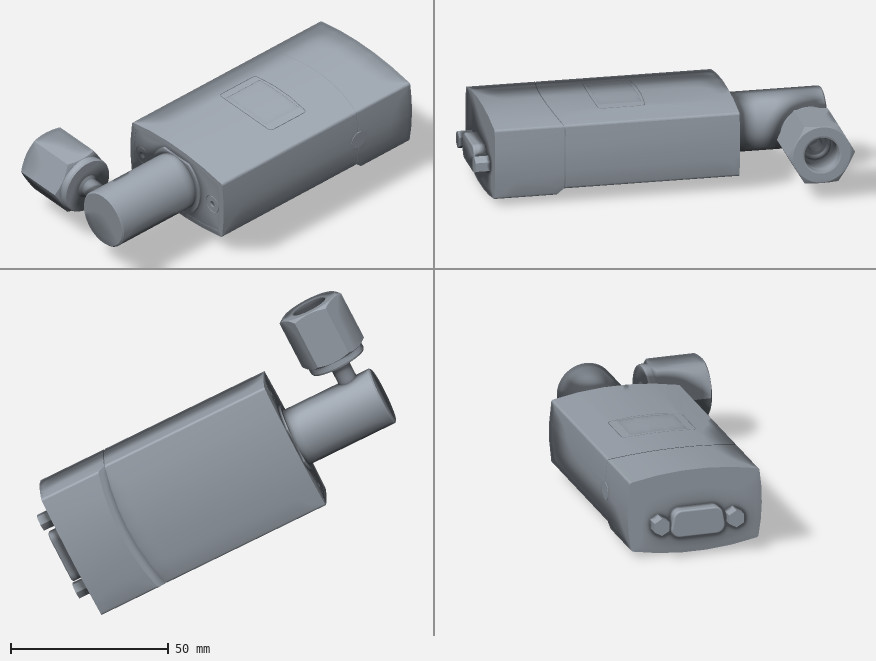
import cadquery as cq
import math

total_length = 119.0

side_crest = 22.5
side_radius = 65.4
roof_crest = 13.0
roof_radius = 98.7
corner_x = 21.5
corner_round = 0.8
housing_length = 79.7

cover_drop = 2.0
seam_y = 57.1
seam_bend_z = 10.5
seam_slope = 1.1
seam_width = 0.4
seam_depth = 0.2

plug_diameter = 6.0
plug_y = 57.1
plug_height = 0.1

plate_inset = 1.7
plate_recess = 0.1
screw_x = 16.9
screw_diameter = 6.2
screw_gap = 0.2
screw_gap_depth = 0.4
socket_diameter = 2.1
socket_depth = 1.2

window_center_y = 36.3
window_width = 25.0
window_end_length = 15.3
window_mid_length = 16.7
window_round = 1.4
window_gap = 0.2
window_gap_depth = 0.2
screen_width = 18.9
screen_length = 14.0
screen_recess = 0.1

tube_diameter = 19.3
tube_length = 31.4
tube_chamfer = 0.5
flange_diameter = 22.8
flange_height = 19.5
flange_thickness = 0.6

fitting_y = -23.5
nut_flats = 19.0
nut_left = -36.9
nut_length = 18.2
nut_face_diameter = 18.5
nut_chamfer_angle = 30.0
collar_diameter = 18.8
collar_length = 2.4
collar_chamfer = 0.6
neck_diameter = 7.9
neck_length = 0.8
stem_diameter = 6.3
bore_mouth_diameter = 12.6
bore_diameter = 11.4
bore_chamfer = 0.2
bore_depth = 10.7
bead_circle_diameter = 8.8
bead_diameter = 1.7
gland_hole_diameter = 4.8
gland_hole_depth = 6.0

connector_z = -3.8
shell_height = 9.0
shell_top_half_flat = 5.5
shell_corner = 2.9
shell_slant = 10.0
shell_length = 3.9
shell_edge_round = 0.6
post_flats = 5.0
post_spacing = 25.0

hexagon_flats_ratio = math.cos(math.pi / 6)
nut_corners = nut_flats / hexagon_flats_ratio
post_corners = post_flats / hexagon_flats_ratio
post_length = total_length - housing_length + fitting_y - nut_corners / 2


def arc_drop(radius, offset):
    """Fall of an arc below its crest at a given distance from the crest."""
    return radius - math.sqrt(radius**2 - offset**2)


def side_x(z):
    """Half width of the housing at a height."""
    return side_crest - arc_drop(side_radius, z)


def housing_prism(length, inset=0.0, drop=0.0):
    """Housing section extruded along +Y; inset shrinks it, drop lowers the floor."""
    top = roof_crest - inset
    floor = -roof_crest - drop + inset
    top_corner_z = top - arc_drop(roof_radius, corner_x)
    floor_corner_z = floor + arc_drop(roof_radius, corner_x)
    top_x = side_x(top_corner_z + inset) - inset
    floor_x = side_x(floor_corner_z - inset) - inset
    crest_x = side_crest - inset
    prism = (
        cq.Workplane("XZ")
        .moveTo(-top_x, top_corner_z)
        .threePointArc((0, top), (top_x, top_corner_z))
        .threePointArc((crest_x, 0), (floor_x, floor_corner_z))
        .threePointArc((0, floor), (-floor_x, floor_corner_z))
        .threePointArc((-crest_x, 0), (-top_x, top_corner_z))
        .close()
        .extrude(-length)
    )
    if inset >= corner_round:
        return prism
    return prism.edges("|Y").fillet(corner_round - inset)


def behind_seam(shift=0.0):
    """Everything behind the seam surface, shifted along Y."""
    reach_z = roof_crest + 2 * cover_drop
    bend_y = seam_y + shift
    end_y = bend_y + seam_slope * (reach_z - seam_bend_z)
    outline = [
        (bend_y, -seam_bend_z),
        (bend_y, seam_bend_z),
        (end_y, reach_z),
        (total_length, reach_z),
        (total_length, -reach_z),
        (end_y, -reach_z),
    ]
    return cq.Workplane("YZ").polyline(outline).close().extrude(2 * side_crest, both=True)


def make_housing():
    """Sleeve and rear cover with the groove between them."""
    sleeve = housing_prism(housing_length)
    cover = housing_prism(housing_length, drop=cover_drop).intersect(behind_seam())
    seam_band = behind_seam(-seam_width).cut(behind_seam())
    seam_groove = seam_band.cut(housing_prism(housing_length, inset=seam_depth))
    return sleeve.union(cover).cut(seam_groove)


def side_plug():
    """Round plug from the core of the housing to just proud of the +X side."""
    return (
        cq.Workplane("YZ", origin=(0, plug_y, 0))
        .circle(plug_diameter / 2)
        .extrude(side_crest + plug_height)
    )


def end_plate_cut():
    """Shallow recess of the end plate with two socket screws."""
    cut = housing_prism(plate_recess, inset=plate_inset)
    screws = cq.Workplane("XZ", origin=(0, plate_recess, 0)).pushPoints([(-screw_x, 0), (screw_x, 0)])
    gaps = (
        screws.circle(screw_diameter / 2)
        .circle(screw_diameter / 2 - screw_gap)
        .extrude(-screw_gap_depth)
    )
    sockets = screws.circle(socket_diameter / 2).extrude(-socket_depth)
    return cut.union(gaps).union(sockets)


def window_prism(inset=0.0):
    """Window with bowed front and rear ends, tall enough to pass through the roof."""
    half_width = window_width / 2 - inset
    half_end = window_end_length / 2 - inset
    half_mid = window_mid_length / 2 - inset
    return (
        cq.Workplane("XY", origin=(0, window_center_y, 0))
        .moveTo(-half_width, -half_end)
        .threePointArc((0, -half_mid), (half_width, -half_end))
        .lineTo(half_width, half_end)
        .threePointArc((0, half_mid), (-half_width, half_end))
        .close()
        .extrude(2 * roof_crest)
        .edges("|Z")
        .fillet(window_round - inset)
    )


def window_cut():
    """Groove around the window and the shallow screen recess inside it."""
    frame = window_prism().cut(window_prism(window_gap))
    frame = frame.cut(housing_prism(housing_length, inset=window_gap_depth))
    screen = (
        cq.Workplane("XY", origin=(0, window_center_y, 0))
        .rect(screen_width, screen_length)
        .extrude(2 * roof_crest)
        .cut(housing_prism(housing_length, inset=screen_recess))
    )
    return frame.union(screen)


def make_tube():
    """Tube along -Y with a round flange flattened above and below."""
    tube = (
        cq.Workplane("XZ", origin=(0, plate_recess, 0))
        .circle(tube_diameter / 2)
        .extrude(tube_length + plate_recess)
        .faces("<Y")
        .chamfer(tube_chamfer)
    )
    flange = (
        cq.Workplane("XZ", origin=(0, plate_recess, 0))
        .circle(flange_diameter / 2)
        .extrude(flange_thickness + plate_recess)
    )
    flats = cq.Workplane("XY").box(flange_diameter, flange_diameter, flange_height)
    return tube.union(flange.intersect(flats))


def turned_on_fitting(points):
    """Solid turned about the fitting axis from (distance along X from the nut face, radius)."""
    return (
        cq.Workplane("XY", origin=(nut_left, fitting_y, 0))
        .polyline(points)
        .close()
        .revolve(360, (0, 0), (1, 0))
    )


def make_nut():
    """Hexagon nut with a vertex along Y and both ends chamfered."""
    hexagon = (
        cq.Workplane("YZ", origin=(nut_left, fitting_y, 0))
        .polygon(6, nut_corners)
        .extrude(nut_length)
    )
    face_radius = nut_face_diameter / 2
    corner_radius = nut_corners / 2
    chamfer_length = (corner_radius - face_radius) * math.tan(math.radians(nut_chamfer_angle))
    envelope = [
        (0, 0),
        (0, face_radius),
        (chamfer_length, corner_radius),
        (nut_length - chamfer_length, corner_radius),
        (nut_length, face_radius),
        (nut_length, 0),
    ]
    return hexagon.intersect(turned_on_fitting(envelope))


def make_stem():
    """Collar, tapered neck and stem from the nut into the tube."""
    collar_end = nut_length + collar_length
    neck_end = collar_end + neck_length
    return turned_on_fitting([
        (nut_length, 0),
        (nut_length, collar_diameter / 2),
        (collar_end - collar_chamfer, collar_diameter / 2),
        (collar_end, collar_diameter / 2 - collar_chamfer / 2),
        (collar_end, neck_diameter / 2),
        (neck_end, stem_diameter / 2),
        (-nut_left, stem_diameter / 2),
        (-nut_left, 0),
    ])


def make_fitting():
    """Nut and stem, bored from the nut face down to a beaded gland with a blind hole."""
    hole_end = bore_depth + gland_hole_depth
    bore = turned_on_fitting([
        (0, 0),
        (0, bore_mouth_diameter / 2),
        (bore_chamfer, bore_diameter / 2),
        (bore_depth, bore_diameter / 2),
        (bore_depth, gland_hole_diameter / 2),
        (hole_end, gland_hole_diameter / 2),
        (hole_end, 0),
    ])
    bead = (
        cq.Workplane("XY", origin=(nut_left, fitting_y, 0))
        .center(bore_depth, bead_circle_diameter / 2)
        .circle(bead_diameter / 2)
        .revolve(360, (0, -bead_circle_diameter / 2), (1, -bead_circle_diameter / 2))
    )
    return make_nut().union(make_stem()).cut(bore).union(bead)


def make_shell():
    """D-shaped connector shell, narrow side up."""
    slant = math.radians(shell_slant)
    half_height = shell_height / 2
    top_center_z = half_height - shell_corner
    floor_half_flat = shell_top_half_flat + 2 * top_center_z * math.tan(slant)

    def corner_point(sign, center_x, center_z, angle):
        x = center_x + shell_corner * math.cos(angle)
        return (sign * x, center_z + shell_corner * math.sin(angle))

    top_mid = (slant + math.pi / 2) / 2
    floor_mid = (slant - math.pi / 2) / 2
    top = (shell_top_half_flat, top_center_z)
    floor = (floor_half_flat, -top_center_z)
    return (
        cq.Workplane("XZ", origin=(0, housing_length, connector_z))
        .moveTo(-shell_top_half_flat, half_height)
        .lineTo(shell_top_half_flat, half_height)
        .threePointArc(corner_point(1, *top, top_mid), corner_point(1, *top, slant))
        .lineTo(*corner_point(1, *floor, slant))
        .threePointArc(corner_point(1, *floor, floor_mid), (floor_half_flat, -half_height))
        .lineTo(-floor_half_flat, -half_height)
        .threePointArc(corner_point(-1, *floor, floor_mid), corner_point(-1, *floor, slant))
        .lineTo(*corner_point(-1, *top, slant))
        .threePointArc(corner_point(-1, *top, top_mid), (-shell_top_half_flat, half_height))
        .close()
        .extrude(-shell_length)
        .faces(">Y")
        .edges()
        .fillet(shell_edge_round)
    )


def make_posts():
    """Two hexagonal jack posts with a vertex up, beside the shell."""
    posts = cq.Workplane("XY")
    for x in (-post_spacing / 2, post_spacing / 2):
        post = (
            cq.Workplane("XZ", origin=(x, housing_length, connector_z))
            .transformed(rotate=(0, 0, 90))
            .polygon(6, post_corners)
            .extrude(-post_length)
        )
        posts = posts.union(post)
    return posts


result = (
    make_housing()
    .cut(end_plate_cut())
    .cut(window_cut())
    .union(side_plug())
    .union(make_tube())
    .union(make_fitting())
    .union(make_shell())
    .union(make_posts())
)